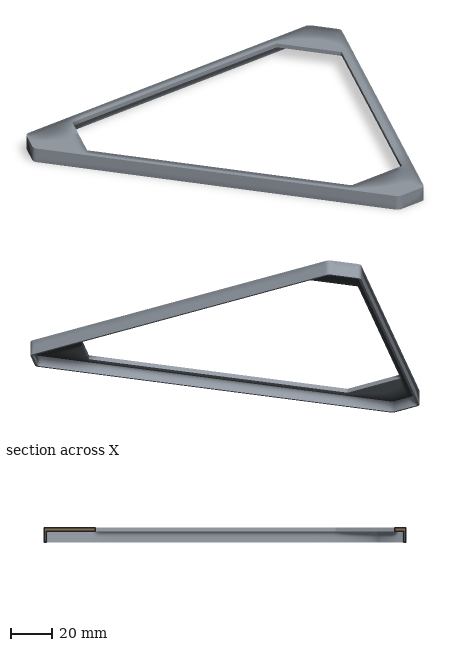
import cadquery as cq
import math

overall_width = 200.7
thickness = 7.2
corner_radius = 3.0
side_distance = 63.0
rail_width = 5.5
pad_depth = 24.9
top_thickness = 2.0
skirt_thickness = 1.2

corner_trim = corner_radius * (1 / math.cos(math.radians(30)) - 1)
overall_depth = (overall_width / 2 + corner_trim) * math.sqrt(3)
tip_distance = overall_depth - side_distance


def blunt_triangle(side, tip, height):
    """Prism of an equilateral triangle with its three tips cut off square."""
    half_tip = (2 * side - tip) / math.sqrt(3)
    points = []
    for turn in (0, 120, 240):
        c = math.cos(math.radians(turn))
        s = math.sin(math.radians(turn))
        for x in (half_tip, -half_tip):
            points.append((x * c - tip * s, x * s + tip * c))
    return cq.Workplane("XY").polyline(points).close().extrude(height)


body = blunt_triangle(side_distance, tip_distance, thickness).edges("|Z").fillet(corner_radius)

opening = blunt_triangle(side_distance - rail_width, tip_distance - pad_depth, thickness)

hollow = blunt_triangle(
    side_distance - skirt_thickness,
    tip_distance - skirt_thickness,
    thickness - top_thickness,
)
hollow = hollow.edges("|Z").fillet(corner_radius - skirt_thickness)

result = body.cut(opening).cut(hollow)